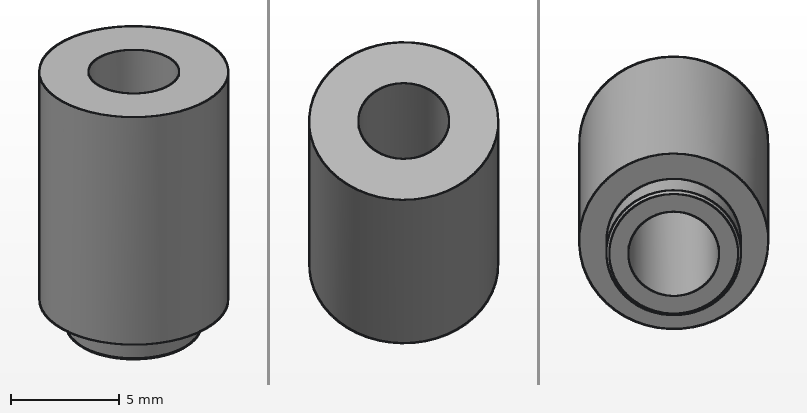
import cadquery as cq

total_height = 13.53
body_diameter = 8.74
spigot_diameter = 6.22
bore_diameter = 4.2
spigot_height = 1.54
spigot_chamfer = 0.14

body_height = total_height - spigot_height

spigot = (
    cq.Workplane("XY")
    .circle(spigot_diameter / 2)
    .extrude(spigot_height)
    .faces("<Z")
    .edges()
    .chamfer(spigot_chamfer)
)

body = (
    cq.Workplane("XY")
    .workplane(offset=spigot_height)
    .circle(body_diameter / 2)
    .extrude(body_height)
)

bore = cq.Workplane("XY").circle(bore_diameter / 2).extrude(total_height)

result = body.union(spigot).cut(bore)